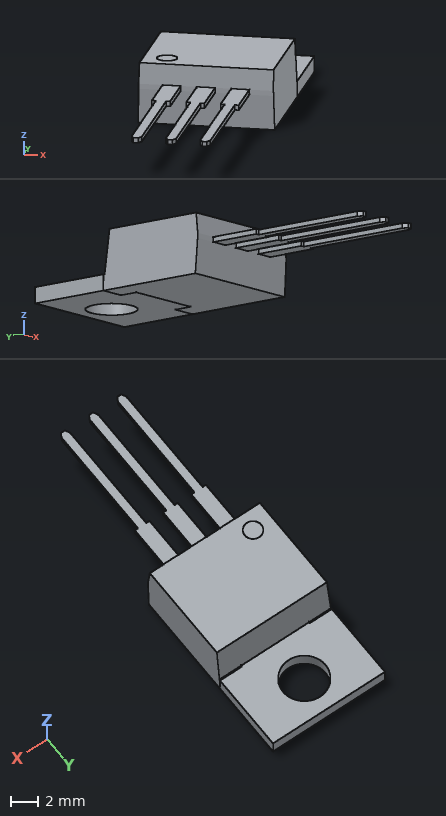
import cadquery as cq


width = 10.15
length = 29.35
height = 4.58

tab_length = 6.55
tab_thickness = 1.23
hole_diameter = 3.8
hole_from_rear = 3.05
tongue_width = 6.15
tongue_length = 1.47

lead_count = 3
lead_pitch = 2.55
lead_thickness = 0.38
lead_bottom = 2.65
lead_top = lead_bottom + lead_thickness
lead_root_width = 1.35
lead_tip_width = 0.75
lead_shoulder_y = -19.57
lead_embed = 1.47
lead_tip_chamfer_length = 0.38
lead_tip_chamfer_width = 0.2

housing_top_width = 9.98
housing_top_rear_y = -7.05
housing_rear_ledge = 0.1
housing_front_y = -15.5
front_draft = 0.18
side_draft = (width - housing_top_width) / 2

mark_diameter = 1.5
mark_depth = 0.1
mark_x = -3.23
mark_y = -13.75


def make_tab():
    """Drilled plate with a narrower tongue that anchors it in the housing."""
    plate = cq.Workplane("XY").box(
        width, tab_length, tab_thickness, centered=(True, False, False)
    ).translate((0, -tab_length, 0))
    tongue = cq.Workplane("XY").box(
        tongue_width, tongue_length, tab_thickness, centered=(True, False, False)
    ).translate((0, -tab_length - tongue_length, 0))
    hole = (
        cq.Workplane("XY")
        .center(0, -hole_from_rear)
        .circle(hole_diameter / 2)
        .extrude(tab_thickness)
    )
    return plate.union(tongue).cut(hole)


def make_lead(x):
    """Flat stepped lead with a chamfered tip, rooted inside the housing."""
    root_half = lead_root_width / 2
    tip_half = lead_tip_width / 2
    end_half = tip_half - lead_tip_chamfer_width
    right_side = [
        (root_half, housing_front_y + lead_embed),
        (root_half, lead_shoulder_y),
        (tip_half, lead_shoulder_y),
        (tip_half, -length + lead_tip_chamfer_length),
        (end_half, -length),
    ]
    left_side = [(-px, py) for px, py in reversed(right_side)]
    return (
        cq.Workplane("XY")
        .workplane(offset=lead_bottom)
        .polyline(right_side + left_side)
        .close()
        .extrude(lead_thickness)
        .translate((x, 0, 0))
    )


def make_mark():
    return (
        cq.Workplane("XY")
        .workplane(offset=height - mark_depth)
        .center(mark_x, mark_y)
        .circle(mark_diameter / 2)
        .extrude(mark_depth)
    )


def make_housing(inserts):
    """Block with drafted walls and a flat band at lead level, recessed for the inserts."""
    side_profile = [
        (-tab_length, 0),
        (-tab_length, tab_thickness),
        (-tab_length - housing_rear_ledge, tab_thickness),
        (housing_top_rear_y, height),
        (housing_front_y + front_draft, height),
        (housing_front_y, lead_top),
        (housing_front_y, lead_bottom),
        (housing_front_y + front_draft, 0),
    ]
    end_profile = [
        (-width / 2, 0),
        (width / 2, 0),
        (width / 2 - side_draft, height),
        (-width / 2 + side_draft, height),
    ]
    block = cq.Workplane("YZ").polyline(side_profile).close().extrude(width / 2, both=True)
    drafted_sides = cq.Workplane("XZ").polyline(end_profile).close().extrude(length)
    housing = block.intersect(drafted_sides)
    for insert in inserts:
        housing = housing.cut(insert)
    return housing


tab = make_tab()
leads = [make_lead((i - (lead_count - 1) / 2) * lead_pitch) for i in range(lead_count)]
mark = make_mark()
housing = make_housing([tab, mark, *leads])

result = cq.Compound.makeCompound(
    [housing.val(), tab.val(), mark.val(), *[lead.val() for lead in leads]]
)